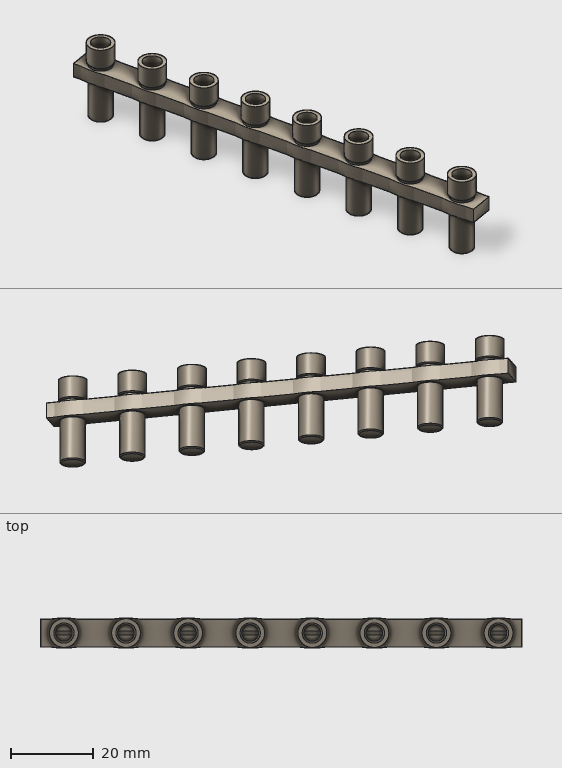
import cadquery as cq

bar_length = 116.4
bar_width = 6.8
bar_height = 3.8
bar_top = bar_height / 2
bar_bottom = -bar_top

sleeve_count = 8
sleeve_pitch = 15.0
sleeve_row = sleeve_pitch * (sleeve_count - 1)

bulge_chord = 7.0
width_over_bulges = 7.3

head_diameter = 7.0
head_height = 5.6
neck_diameter = 6.2
neck_height = 0.7
shank_diameter = 6.2
shank_length = 11.0
edge_chamfer = 0.3
shank_top_chamfer = 0.2

bore_top_diameter = 4.9
bore_floor_diameter = 4.0
bore_depth = 4.7
slot_width = 1.0
slot_depth = 0.7

head_bottom = bar_top + neck_height
head_top = head_bottom + head_height
bore_floor = head_top - bore_depth


def make_bar():
    """Straight rectangular bar, centred on the origin."""
    return cq.Workplane("XY").box(bar_length, bar_width, bar_height)


def make_bulges():
    """Plate as high as the bar whose two long sides are shallow arcs."""
    half_chord = bulge_chord / 2
    half_width = bar_width / 2
    crest = width_over_bulges / 2
    return (
        cq.Workplane("XY", origin=(0, 0, bar_bottom))
        .moveTo(-half_chord, -half_width)
        .threePointArc((0, -crest), (half_chord, -half_width))
        .lineTo(half_chord, half_width)
        .threePointArc((0, crest), (-half_chord, half_width))
        .close()
        .extrude(bar_height)
    )


def cylinder(diameter, bottom, height):
    """Upright cylinder on the Z axis."""
    return cq.Workplane("XY", origin=(0, 0, bottom)).circle(diameter / 2).extrude(height)


def make_bore():
    """Volume of the tapered bore and of the slot sunk into its floor."""
    bore = (
        cq.Workplane("XY", origin=(0, 0, head_top))
        .circle(bore_top_diameter / 2)
        .workplane(offset=-bore_depth)
        .circle(bore_floor_diameter / 2)
        .loft(ruled=True)
    )
    slot = cq.Workplane("XY", origin=(0, 0, bore_floor - slot_depth / 2)).box(
        bore_floor_diameter, slot_width, slot_depth
    )
    slot = slot.intersect(cylinder(bore_floor_diameter, bore_floor - slot_depth, slot_depth))
    return bore.union(slot)


def make_sleeve():
    """Bored head, neck and shank, with the bulges of the bar around them."""
    head = cylinder(head_diameter, head_bottom, head_height).faces("<Z").chamfer(edge_chamfer)
    neck = cylinder(neck_diameter, bar_top, neck_height)
    shank = (
        cylinder(shank_diameter, bar_bottom - shank_length, shank_length)
        .faces("<Z")
        .chamfer(edge_chamfer)
        .faces(">Z")
        .chamfer(shank_top_chamfer)
    )
    return make_bulges().union(neck).union(head).union(shank).cut(make_bore())


sleeve = make_sleeve()
result = make_bar()
for index in range(sleeve_count):
    sleeve_x = index * sleeve_pitch - sleeve_row / 2
    result = result.union(sleeve.translate((sleeve_x, 0, 0)))